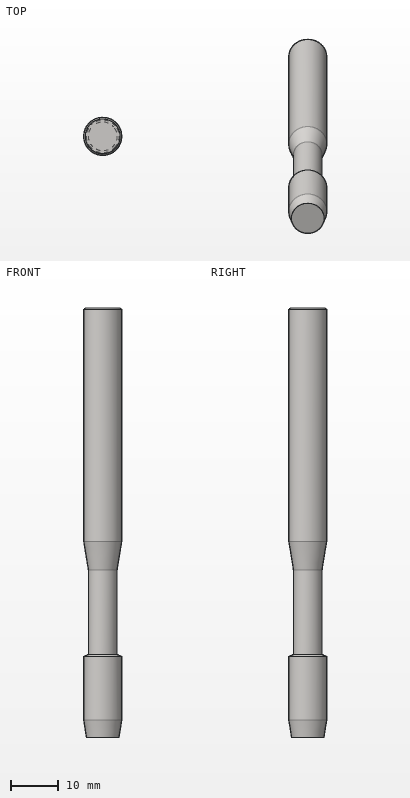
import cadquery as cq

total_length = 90.0
shank_diameter = 8.0
shank_radius = shank_diameter / 2
neck_diameter = 6.0
neck_radius = neck_diameter / 2
tip_radius = 3.4

lead_height = 3.7
head_rim_height = 17.0
head_top_height = 17.5
taper_bottom_height = 35.1
taper_top_height = 41.1
top_chamfer = 0.4


def revolve_profile(points):
    """Turn a half outline of (radius, height) points around the Z axis."""
    return (
        cq.Workplane("XZ")
        .polyline(points)
        .close()
        .revolve(360, (0, 0, 0), (0, 1, 0))
    )


def make_cutting_head():
    """Cylindrical head with a tapered lead and a bevelled shoulder."""
    return revolve_profile([
        (0, 0),
        (tip_radius, 0),
        (shank_radius, lead_height),
        (shank_radius, head_rim_height),
        (neck_radius, head_top_height),
        (0, head_top_height),
    ])


def make_shank():
    """Slim neck that widens through a taper into the chamfered shank."""
    return revolve_profile([
        (0, head_top_height),
        (neck_radius, head_top_height),
        (neck_radius, taper_bottom_height),
        (shank_radius, taper_top_height),
        (shank_radius, total_length - top_chamfer),
        (shank_radius - top_chamfer, total_length),
        (0, total_length),
    ])


cutting_head = make_cutting_head()
shank = make_shank()

result = cq.Compound.makeCompound([cutting_head.val(), shank.val()])